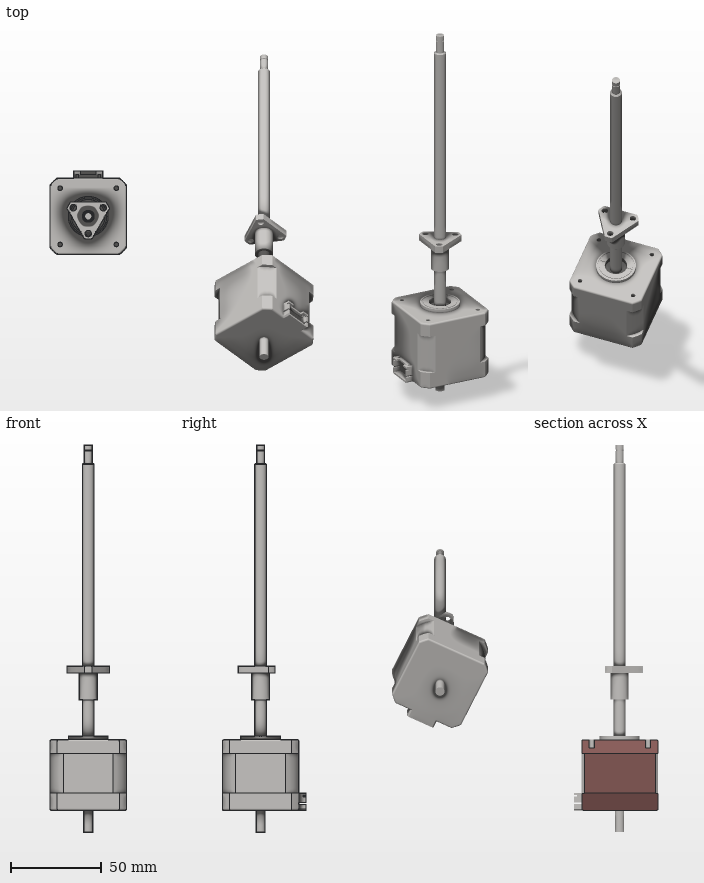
import cadquery as cq
import math


FRAME_WIDTH = 42.2
CAP_FLAT_WIDTH = 34.2
CAP_CORNER_RADIUS = math.hypot(FRAME_WIDTH / 2, CAP_FLAT_WIDTH / 2)
CAP_EDGE_FILLET = 1.0
FRONT_CAP_HEIGHT = 7.6
STATOR_HEIGHT = 21.8
REAR_CAP_HEIGHT = 9.6
STATOR_FLAT_WIDTH = 27.4
STATOR_CORNER_RADIUS = math.hypot(FRAME_WIDTH / 2, STATOR_FLAT_WIDTH / 2)
STATOR_TOP = -FRONT_CAP_HEIGHT
REAR_CAP_TOP = STATOR_TOP - STATOR_HEIGHT
MOTOR_BOTTOM = REAR_CAP_TOP - REAR_CAP_HEIGHT

PILOT_DIAMETER = 22.0
PILOT_HEIGHT = 2.0
PILOT_GROOVE_OUTER_DIAMETER = 20.4
PILOT_GROOVE_INNER_DIAMETER = 18.6
PILOT_GROOVE_DEPTH = 0.4
PILOT_SLOT_WIDTH = 1.0
PILOT_BORE_DIAMETER = 12.4
PILOT_BORE_DEPTH = 3.0
MOUNT_PITCH = 31.0
MOUNT_HOLE_DIAMETER = 2.5
MOUNT_HOLE_DEPTH = 4.5

SHAFT_DIAMETER = 5.0
REAR_SHAFT_LENGTH = 12.0
OVERALL_LENGTH = 213.25
SCREW_DIAMETER = 6.5
SCREW_END_CHAMFER = 0.6
TIP_DIAMETER = 4.5
TIP_LENGTH = 10.0
GROOVE_DIAMETER = 4.0
GROOVE_WIDTH = 0.7
GROOVE_FROM_TIP = 2.6
SHAFT_BOTTOM = MOTOR_BOTTOM - REAR_SHAFT_LENGTH
TIP_TOP = SHAFT_BOTTOM + OVERALL_LENGTH
SCREW_TOP = TIP_TOP - TIP_LENGTH
SCREW_BOTTOM = PILOT_HEIGHT - PILOT_BORE_DEPTH

NUT_BOTTOM = 22.0
NUT_BARREL_DIAMETER = 10.0
NUT_BARREL_LENGTH = 14.7
FLANGE_THICKNESS = 3.8
FLANGE_APOTHEM = 8.0
FLANGE_CORNER_RADIUS = 12.5
FLANGE_HOLE_DIAMETER = 3.5
FLANGE_HOLE_CIRCLE_RADIUS = 9.5
FLANGE_CORNER_ANGLES = (30, 150, 270)

CONNECTOR_WIDTH = 16.0
CONNECTOR_OVERHANG = 4.0
CONNECTOR_SEAT_DEPTH = 4.0
CONNECTOR_FRONT = FRAME_WIDTH / 2 + CONNECTOR_OVERHANG
CONNECTOR_SLOT_HEIGHT = 1.0
CONNECTOR_SLOT_FROM_BOTTOM = 3.4
CONNECTOR_WALL = 1.0
CONNECTOR_BOTTOM_CHAMFER = 0.8
LATCH_NOTCH_WIDTH = 8.4
LATCH_NOTCH_DEPTH = 2.0
KEY_SLOT_WIDTH = 1.4
KEY_SLOT_OFFSET = 6.0
SIDE_NOTCH_DEPTH = 1.5
SIDE_NOTCH_HEIGHT = 0.8
SIDE_NOTCH_FROM_BOTTOM = 7.6


def cylinder(diameter, bottom, top):
    return cq.Workplane("XY").workplane(offset=bottom).circle(diameter / 2).extrude(top - bottom)


def frame_block(bottom, height, corner_radius):
    """Square block whose corners are rounded by a cylinder about the motor axis."""
    block = cq.Workplane("XY").workplane(offset=bottom).rect(FRAME_WIDTH, FRAME_WIDTH).extrude(height)
    return block.intersect(cylinder(2 * corner_radius, bottom, bottom + height))


def make_pilot():
    """Round boss with a ring groove in its top face and a slot along X inside the ring."""
    recess_floor = PILOT_HEIGHT - PILOT_GROOVE_DEPTH
    inside_ring = cylinder(PILOT_GROOVE_INNER_DIAMETER, recess_floor, PILOT_HEIGHT)
    groove = cylinder(PILOT_GROOVE_OUTER_DIAMETER, recess_floor, PILOT_HEIGHT).cut(inside_ring)
    slot = (
        cq.Workplane("XY")
        .workplane(offset=recess_floor)
        .rect(PILOT_GROOVE_INNER_DIAMETER, PILOT_SLOT_WIDTH)
        .extrude(PILOT_GROOVE_DEPTH)
    )
    return cylinder(PILOT_DIAMETER, 0, PILOT_HEIGHT).cut(groove).cut(slot)


def make_front_cap():
    cap = frame_block(STATOR_TOP, FRONT_CAP_HEIGHT, CAP_CORNER_RADIUS)
    cap = cap.faces(">Z").edges().fillet(CAP_EDGE_FILLET)
    cap = cap.union(make_pilot())
    cap = cap.cut(cylinder(PILOT_BORE_DIAMETER, SCREW_BOTTOM, PILOT_HEIGHT))
    cap = cap.cut(cylinder(SHAFT_DIAMETER, STATOR_TOP, PILOT_HEIGHT))
    holes = (
        cq.Workplane("XY")
        .rect(MOUNT_PITCH, MOUNT_PITCH, forConstruction=True)
        .vertices()
        .circle(MOUNT_HOLE_DIAMETER / 2)
        .extrude(-MOUNT_HOLE_DEPTH)
    )
    return cap.cut(holes)


def make_stator():
    stator = frame_block(REAR_CAP_TOP, STATOR_HEIGHT, STATOR_CORNER_RADIUS)
    return stator.cut(cylinder(SHAFT_DIAMETER, REAR_CAP_TOP, STATOR_TOP))


def connector_box(width, front, depth, bottom, height):
    """Box centred on X that reaches back towards the motor from its front face."""
    box = cq.Workplane("XY").box(width, depth, height, centered=(True, False, False))
    return box.translate((0, front - depth, bottom))


def connector_block():
    depth = CONNECTOR_SEAT_DEPTH + CONNECTOR_OVERHANG
    block = connector_box(CONNECTOR_WIDTH, CONNECTOR_FRONT, depth, MOTOR_BOTTOM, REAR_CAP_HEIGHT)
    return block.faces("<Z").edges("|Y").chamfer(CONNECTOR_BOTTOM_CHAMFER)


def make_connector():
    inner_width = CONNECTOR_WIDTH - 2 * CONNECTOR_WALL
    inner_height = REAR_CAP_HEIGHT - 2 * CONNECTOR_WALL
    socket = connector_box(
        inner_width, CONNECTOR_FRONT, CONNECTOR_OVERHANG, MOTOR_BOTTOM + CONNECTOR_WALL, inner_height
    )
    slot = connector_box(
        CONNECTOR_WIDTH,
        CONNECTOR_FRONT,
        CONNECTOR_OVERHANG,
        MOTOR_BOTTOM + CONNECTOR_SLOT_FROM_BOTTOM,
        CONNECTOR_SLOT_HEIGHT,
    )
    latch_notch = connector_box(
        LATCH_NOTCH_WIDTH, CONNECTOR_FRONT, LATCH_NOTCH_DEPTH, REAR_CAP_TOP - CONNECTOR_WALL, CONNECTOR_WALL
    )
    side_notches = connector_box(
        CONNECTOR_WIDTH,
        CONNECTOR_FRONT,
        SIDE_NOTCH_DEPTH,
        MOTOR_BOTTOM + SIDE_NOTCH_FROM_BOTTOM,
        SIDE_NOTCH_HEIGHT,
    )
    connector = connector_block().cut(socket).cut(slot).cut(latch_notch).cut(side_notches)
    key_slot = connector_box(
        KEY_SLOT_WIDTH,
        CONNECTOR_FRONT - LATCH_NOTCH_DEPTH,
        CONNECTOR_OVERHANG - LATCH_NOTCH_DEPTH,
        REAR_CAP_TOP - CONNECTOR_WALL,
        CONNECTOR_WALL,
    )
    for side in (-1, 1):
        connector = connector.cut(key_slot.translate((side * KEY_SLOT_OFFSET, 0, 0)))
    return connector


def make_rear_cap():
    cap = frame_block(MOTOR_BOTTOM, REAR_CAP_HEIGHT, CAP_CORNER_RADIUS)
    cap = cap.faces("<Z").edges().fillet(CAP_EDGE_FILLET)
    cap = cap.cut(cylinder(SHAFT_DIAMETER, MOTOR_BOTTOM, REAR_CAP_TOP))
    return cap.cut(connector_block())


def make_lead_screw():
    screw = cylinder(SCREW_DIAMETER, SCREW_BOTTOM, SCREW_TOP).faces(">Z").chamfer(SCREW_END_CHAMFER)
    screw = screw.union(cylinder(SHAFT_DIAMETER, SHAFT_BOTTOM, SCREW_BOTTOM))
    screw = screw.union(cylinder(TIP_DIAMETER, SCREW_TOP, TIP_TOP))
    groove_top = TIP_TOP - GROOVE_FROM_TIP
    groove_bottom = groove_top - GROOVE_WIDTH
    groove = cylinder(TIP_DIAMETER, groove_bottom, groove_top).cut(
        cylinder(GROOVE_DIAMETER, groove_bottom, groove_top)
    )
    return screw.cut(groove)


def make_nut():
    flange_bottom = NUT_BOTTOM + NUT_BARREL_LENGTH
    flange_top = flange_bottom + FLANGE_THICKNESS
    triangle_diameter = 4 * FLANGE_APOTHEM
    triangle = (
        cq.Workplane("XY")
        .workplane(offset=flange_bottom)
        .transformed(rotate=(0, 0, FLANGE_CORNER_ANGLES[0]))
        .polygon(3, triangle_diameter)
        .extrude(FLANGE_THICKNESS)
    )
    flange = triangle.intersect(cylinder(2 * FLANGE_CORNER_RADIUS, flange_bottom, flange_top))
    nut = flange.union(cylinder(NUT_BARREL_DIAMETER, NUT_BOTTOM, flange_bottom))
    for angle in FLANGE_CORNER_ANGLES:
        x = FLANGE_HOLE_CIRCLE_RADIUS * math.cos(math.radians(angle))
        y = FLANGE_HOLE_CIRCLE_RADIUS * math.sin(math.radians(angle))
        nut = nut.cut(cylinder(FLANGE_HOLE_DIAMETER, flange_bottom, flange_top).translate((x, y, 0)))
    return nut.cut(cylinder(SCREW_DIAMETER, NUT_BOTTOM, flange_top))


result = cq.Compound.makeCompound([
    make_front_cap().val(),
    make_stator().val(),
    make_rear_cap().val(),
    make_connector().val(),
    make_lead_screw().val(),
    make_nut().val(),
])